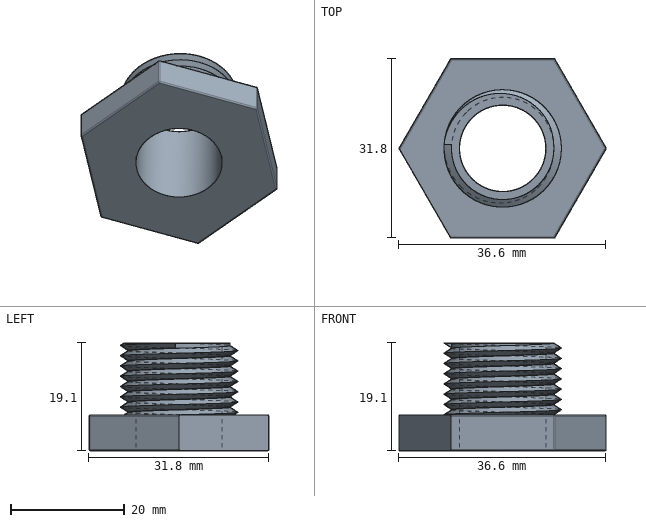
import cadquery as cq
import math

across_flats = 31.75
flange_height = 6.35
edge_radius = 0.25
across_corners = across_flats / math.cos(math.radians(30))

total_height = 19.05
spigot_height = total_height - flange_height
bore_diameter = 15.25
root_diameter = 18.1
crest_diameter = 20.75

exposed_turns = 7
thread_pitch = spigot_height / exposed_turns
thread_length = spigot_height + thread_pitch
root_gap = 0.07
thread_end_angle = 176
root_overlap = 0.03


def make_flange():
    """Hexagon with every edge rounded, except those of the flat facing -X, -Y."""
    blank = cq.Workplane("XY").polygon(6, across_corners).extrude(flange_height)
    flat_angle = math.radians(210)
    normal = cq.Vector(math.cos(flat_angle), math.sin(flat_angle), 0)
    tolerance = 0.005

    def on_sharp_flat(edge):
        return edge.Center().dot(normal) > across_flats / 2 - tolerance

    rounded_edges = [edge for edge in blank.edges().vals() if not on_sharp_flat(edge)]
    return blank.newObject(rounded_edges).fillet(edge_radius)


def make_thread():
    """Triangular ridge along a helix; its upper end rises past the spigot top."""
    root_radius = root_diameter / 2
    crest_radius = crest_diameter / 2
    half_root = (thread_pitch - root_gap) / 2
    flank_slope = half_root / (crest_radius - root_radius)
    inner_radius = root_radius - root_overlap
    half_base = flank_slope * (crest_radius - inner_radius)

    helix = cq.Wire.makeHelix(thread_pitch, thread_length, root_radius)
    return (
        cq.Workplane("XZ")
        .polyline([(inner_radius, -half_base), (crest_radius, 0), (inner_radius, half_base)])
        .close()
        .sweep(cq.Workplane(helix), isFrenet=True)
        .rotate((0, 0, 0), (0, 0, 1), thread_end_angle)
        .translate((0, 0, total_height - thread_length))
    )


untrimmed_height = total_height + thread_pitch
flange = make_flange()
core = cq.Workplane("XY").circle(root_diameter / 2).extrude(untrimmed_height)
bore = cq.Workplane("XY").circle(bore_diameter / 2).extrude(untrimmed_height)
above_top = (
    cq.Workplane("XY")
    .workplane(offset=total_height)
    .circle(crest_diameter)
    .extrude(untrimmed_height)
)

result = core.union(make_thread()).union(flange).cut(above_top).cut(bore)